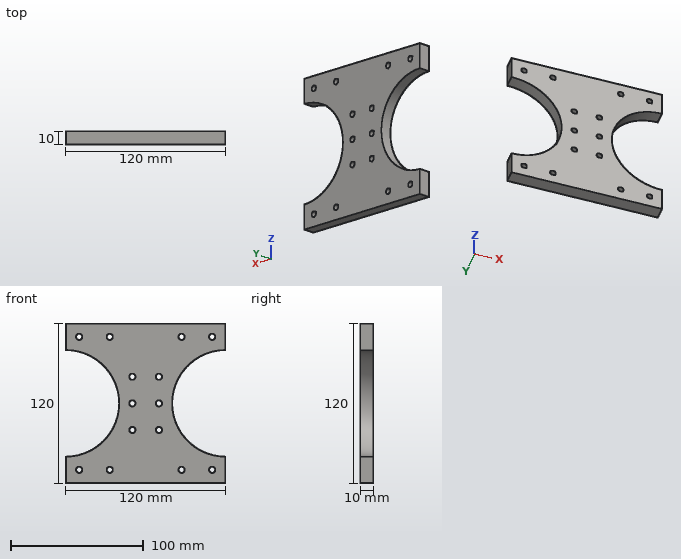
import cadquery as cq

plate_side = 120.0
plate_thickness = 10.0

cutout_radius = 40.0

hole_diameter = 4.5
edge_margin = 10.0
corner_hole_x = plate_side / 2 - edge_margin
corner_hole_z = plate_side / 2 - edge_margin
inner_hole_x = 27.0
center_hole_x = 10.0
center_row_pitch = 20.0


def cut_through(plate, points, diameter):
    """Cut round openings through the plate thickness at the given (x, z) points."""
    cutters = (
        cq.Workplane("XZ")
        .pushPoints(points)
        .circle(diameter / 2)
        .extrude(plate_thickness, both=True)
    )
    return plate.cut(cutters)


def outer_hole_points():
    """Four holes in a row near the top edge and four near the bottom edge."""
    columns = (-corner_hole_x, -inner_hole_x, inner_hole_x, corner_hole_x)
    return [(x, z) for x in columns for z in (-corner_hole_z, corner_hole_z)]


def center_hole_points():
    """Two columns of three holes on the narrow waist."""
    columns = (-center_hole_x, center_hole_x)
    rows = (-center_row_pitch, 0, center_row_pitch)
    return [(x, z) for x in columns for z in rows]


side_points = [(-plate_side / 2, 0), (plate_side / 2, 0)]

plate = cq.Workplane("XY").box(plate_side, plate_thickness, plate_side)
plate = cut_through(plate, side_points, 2 * cutout_radius)
plate = cut_through(plate, outer_hole_points() + center_hole_points(), hole_diameter)

result = plate